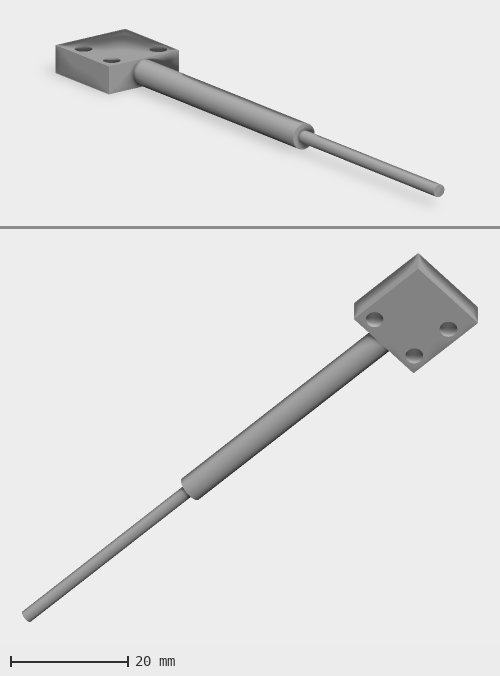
import cadquery as cq


total_length = 98.0
head_side = 15.0
head_height = 5.0

sleeve_diameter = 4.6
sleeve_length = 45.0
lead_diameter = 2.3
lead_length = total_length - head_side - sleeve_length

hole_diameter = 3.0
hole_spacing_x = 7.9
hole_spacing_y = 10.0
hole_edge_distance = (head_side - hole_spacing_y) / 2
right_hole_x = head_side - hole_edge_distance
left_hole_x = right_hole_x - hole_spacing_x
hole_centers = [
    (right_hole_x, hole_spacing_y / 2),
    (right_hole_x, -hole_spacing_y / 2),
    (left_hole_x, -hole_spacing_y / 2),
]

insert_side = 1.5
insert_height = 3.3


def make_insert():
    """Small block set into the upright corner edge of the head that has no hole."""
    return cq.Workplane("XY").box(insert_side, insert_side, insert_height).translate(
        (insert_side / 2, (head_side - insert_side) / 2, 0)
    )


def make_head():
    """Square head with its three through holes."""
    return (
        cq.Workplane("XY")
        .box(head_side, head_side, head_height)
        .translate((head_side / 2, 0, 0))
        .faces(">Z")
        .workplane(origin=(0, 0, 0))
        .pushPoints(hole_centers)
        .hole(hole_diameter)
    )


def make_cable():
    """Sleeve and lead running out of the head along +X."""
    return (
        cq.Workplane("YZ", origin=(head_side, 0, 0))
        .circle(sleeve_diameter / 2)
        .extrude(sleeve_length)
        .faces(">X")
        .workplane()
        .circle(lead_diameter / 2)
        .extrude(lead_length)
    )


def make_housing(insert):
    """Head and cable in one piece, with a recess that fits the insert."""
    return make_head().union(make_cable()).cut(insert)


insert = make_insert()
housing = make_housing(insert)

result = cq.Compound.makeCompound([housing.val(), insert.val()])